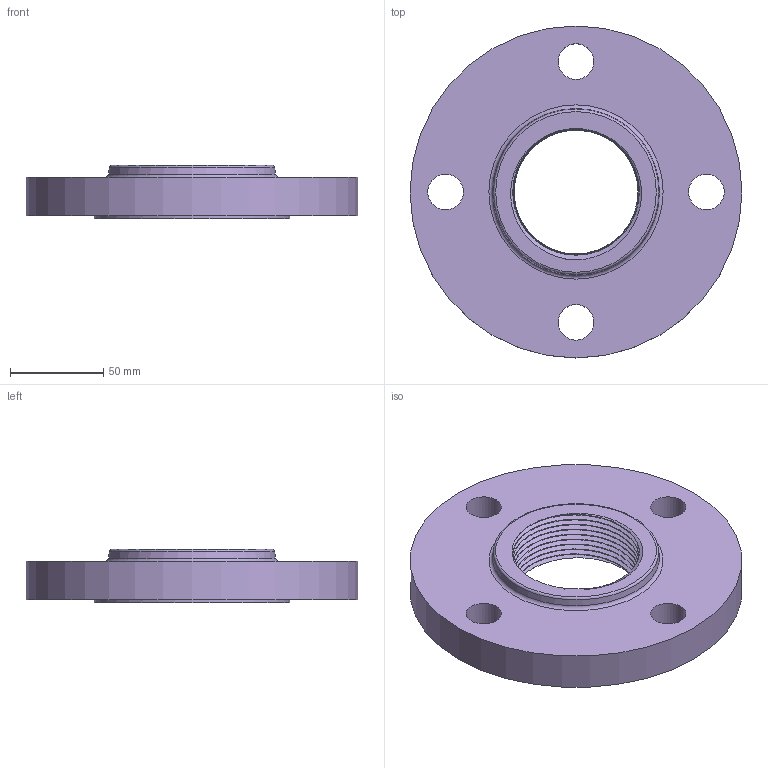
import cadquery as cq
import math

FLANGE_DIAMETER = 177.8
RAISED_FACE_DIAMETER = 104.8
RAISED_FACE_HEIGHT = 1.6
FLANGE_TOP = 22.1
OVERALL_HEIGHT = 28.51

HUB_BASE_DIAMETER = 89.8
HUB_DRAFT_DEGREES = 7.0
HUB_BASE_FILLET = 2.0
HUB_TOP_FILLET = 1.2

BOLT_COUNT = 4
BOLT_CIRCLE_DIAMETER = 139.7
BOLT_HOLE_DIAMETER = 19.05

THREAD_PITCH = 25.4 / 8
THREAD_DEPTH = 2.4
THREAD_HALF_ANGLE_DEGREES = 30.0
CREST_RADIUS_AT_TOP = 34.0
TAPER = 1 / 32
GROOVE_OVERLAP = 0.25
GROOVE_EXIT_TURN = 0.75
GROOVE_RUNOUT_TURNS = 1


def bore_radius(z):
    """Radius of the thread crests at height z."""
    return CREST_RADIUS_AT_TOP - (OVERALL_HEIGHT - z) * TAPER


def make_body():
    """Revolve the raised face, flange plate and hub, then round the hub edges."""
    hub_height = OVERALL_HEIGHT - FLANGE_TOP
    hub_base_radius = HUB_BASE_DIAMETER / 2
    hub_top_radius = hub_base_radius - hub_height * math.tan(math.radians(HUB_DRAFT_DEGREES))
    profile = (
        cq.Workplane("XZ")
        .moveTo(0, 0)
        .lineTo(RAISED_FACE_DIAMETER / 2, 0)
        .lineTo(RAISED_FACE_DIAMETER / 2, RAISED_FACE_HEIGHT)
        .lineTo(FLANGE_DIAMETER / 2, RAISED_FACE_HEIGHT)
        .lineTo(FLANGE_DIAMETER / 2, FLANGE_TOP)
        .lineTo(hub_base_radius, FLANGE_TOP)
        .lineTo(hub_top_radius, OVERALL_HEIGHT)
        .lineTo(0, OVERALL_HEIGHT)
        .close()
    )
    body = profile.revolve(360, (0, 0, 0), (0, 1, 0))
    body = body.faces(">Z").edges().fillet(HUB_TOP_FILLET)
    flange_top_point = (BOLT_CIRCLE_DIAMETER / 2, 0, FLANGE_TOP)
    flange_top_face = body.faces(cq.selectors.NearestToPointSelector(flange_top_point))
    return flange_top_face.edges(cq.selectors.RadiusNthSelector(0)).fillet(HUB_BASE_FILLET)


def cut_bolt_holes(body):
    """Drill the bolt holes, one on each half axis."""
    holes = (
        cq.Workplane("XY")
        .polarArray(BOLT_CIRCLE_DIAMETER / 2, 0, 360, BOLT_COUNT)
        .circle(BOLT_HOLE_DIAMETER / 2)
        .extrude(OVERALL_HEIGHT)
    )
    return body.cut(holes)


def cut_bore(body):
    """Cut the conical bore through the crests of the thread."""
    cone = cq.Solid.makeCone(bore_radius(0), bore_radius(OVERALL_HEIGHT), OVERALL_HEIGHT)
    return body.cut(cq.Workplane(obj=cone))


def thread_helix(radius, start_z, turns):
    """Right-hand conical helix that starts at +X and follows the thread taper upward."""
    return cq.Wire.makeHelix(
        THREAD_PITCH,
        turns * THREAD_PITCH,
        radius,
        center=cq.Vector(0, 0, start_z),
        angle=math.degrees(math.atan(TAPER)),
    )


def make_thread_cutter():
    """Build a V-section conical helix from ruled flanks, its groove leaving the top face at -Y."""
    turns_inside = math.ceil(OVERALL_HEIGHT / THREAD_PITCH) + GROOVE_RUNOUT_TURNS
    start_z = OVERALL_HEIGHT - (turns_inside + GROOVE_EXIT_TURN) * THREAD_PITCH
    turns = turns_inside + GROOVE_RUNOUT_TURNS + 1
    crest_radius = bore_radius(start_z)
    mouth_radius = crest_radius - GROOVE_OVERLAP
    mouth_half_width = (THREAD_DEPTH + GROOVE_OVERLAP) * math.tan(math.radians(THREAD_HALF_ANGLE_DEGREES))

    lower_lip = thread_helix(mouth_radius, start_z - mouth_half_width, turns)
    root = thread_helix(crest_radius + THREAD_DEPTH, start_z, turns)
    upper_lip = thread_helix(mouth_radius, start_z + mouth_half_width, turns)

    surfaces = [
        cq.Face.makeRuledSurface(lower_lip, root),
        cq.Face.makeRuledSurface(root, upper_lip),
        cq.Face.makeRuledSurface(upper_lip, lower_lip),
    ]
    start_corners = [wire.startPoint() for wire in (lower_lip, root, upper_lip)]
    end_corners = [wire.endPoint() for wire in (lower_lip, root, upper_lip)]
    for corners in (start_corners, end_corners):
        surfaces.append(cq.Face.makeFromWires(cq.Wire.makePolygon(corners, close=True)))
    faces = [face for surface in surfaces for face in surface.Faces()]
    return cq.Solid.makeSolid(cq.Shell.makeShell(faces)).fix()


body = cut_bolt_holes(make_body())
bored = cut_bore(body)
result = bored.cut(cq.Workplane(obj=make_thread_cutter()))